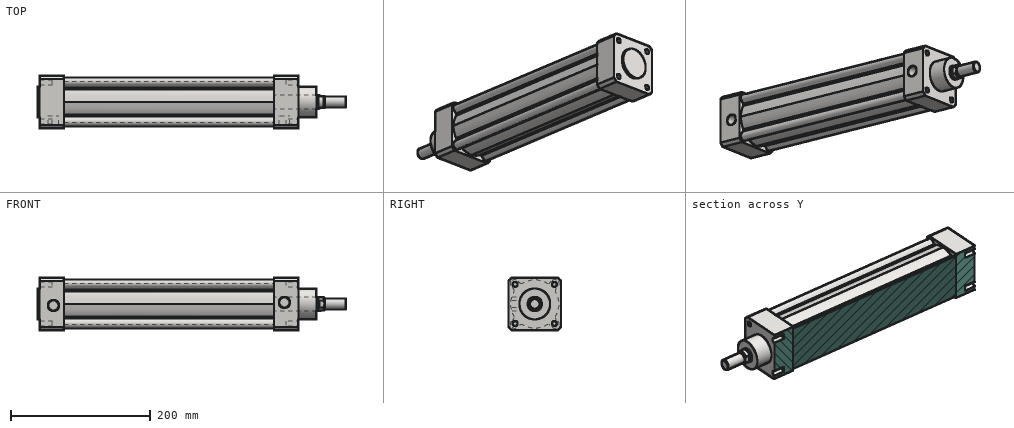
import cadquery as cq
import math


OVERALL_LENGTH = 444.0
REAR_BOSS_LENGTH = 3.0
CAP_LENGTH = 35.0
PROFILE_LENGTH = 302.0
COLLAR_LENGTH = 26.0

PROFILE_START = REAR_BOSS_LENGTH + CAP_LENGTH
PROFILE_END = PROFILE_START + PROFILE_LENGTH
FRONT_CAP_END = PROFILE_END + CAP_LENGTH
COLLAR_END = FRONT_CAP_END + COLLAR_LENGTH

CAP_SIDE = 76.0
CAP_CORNER_RADIUS = 50.0
BOSS_RADIUS = 22.0
SCREW_SPACING = 56.5
SCREW_HOLE_RADIUS = 3.5
SCREW_HOLE_DEPTH = 17.8
PORT_RADIUS = 7.5
PORT_CHAMFER = 0.5
PORT_DEPTH = 17.8
PORT_OFFSET = 2.0
REAR_PORT_X = 23.0
FRONT_PORT_X = 355.0

TUBE_RADIUS = 34.5
CORE_SIDE = 59.5
LOBE_RADIUS = 6.0
LOBE_CENTRE = 29.0
RIDGE_HEIGHT = 35.5
RIDGE_HALF_WIDTH = 6.0

ROD_RADIUS = 10.0
NOSE_RADIUS = 9.8
JOURNAL_LENGTH = 3.0
ROD_STEP = COLLAR_END + JOURNAL_LENGTH
FLAT_DISTANCE = 8.5
FLAT_SETBACK = 1.0
FLAT_START = ROD_STEP + FLAT_SETBACK
THREAD_RADIUS = 8.0
SHOULDER_START = 411.5
SHOULDER_LENGTH = 1.8
SHOULDER_END = SHOULDER_START + SHOULDER_LENGTH
TIP_CHAMFER = 1.0


def disc(start_x, radius, length):
    """Cylinder about the X axis, running in +X from start_x."""
    return cq.Workplane("YZ", origin=(start_x, 0, 0)).circle(radius).extrude(length)


def cap_block(start_x):
    """Square block with its four long corners rounded about the cylinder axis."""
    block = cq.Workplane("YZ", origin=(start_x, 0, 0)).rect(CAP_SIDE, CAP_SIDE).extrude(CAP_LENGTH)
    return block.intersect(disc(start_x, CAP_CORNER_RADIUS, CAP_LENGTH))


def screw_holes(face_x, depth):
    """Four corner holes from an end face; a negative depth runs toward -X."""
    return (
        cq.Workplane("YZ", origin=(face_x, 0, 0))
        .rect(SCREW_SPACING, SCREW_SPACING, forConstruction=True)
        .vertices()
        .circle(SCREW_HOLE_RADIUS)
        .extrude(depth)
    )


def port(x, z):
    """Blind air port with a chamfered mouth, entering from the -Y face of a cap."""
    mouth = cq.Workplane("XZ", origin=(x, -CAP_SIDE / 2, z))
    bore = mouth.circle(PORT_RADIUS).extrude(-PORT_DEPTH)
    countersink = cq.Solid.makeCone(
        PORT_RADIUS + PORT_CHAMFER, PORT_RADIUS, PORT_CHAMFER,
        cq.Vector(x, -CAP_SIDE / 2, z), cq.Vector(0, 1, 0),
    )
    return bore.union(cq.Workplane(countersink))


def make_rear_cap():
    cap = cap_block(REAR_BOSS_LENGTH).union(disc(0, BOSS_RADIUS, PROFILE_START))
    cap = cap.cut(screw_holes(REAR_BOSS_LENGTH, SCREW_HOLE_DEPTH))
    return cap.cut(port(REAR_PORT_X, -PORT_OFFSET))


def make_front_cap():
    cap = cap_block(PROFILE_END).union(disc(PROFILE_END, BOSS_RADIUS, CAP_LENGTH + COLLAR_LENGTH))
    cap = cap.cut(screw_holes(FRONT_CAP_END, -SCREW_HOLE_DEPTH))
    cap = cap.cut(port(FRONT_PORT_X, PORT_OFFSET))
    return cap.cut(disc(PROFILE_END, ROD_RADIUS, CAP_LENGTH + COLLAR_LENGTH))


def make_profile():
    section = cq.Workplane("YZ", origin=(PROFILE_START, 0, 0))
    profile = disc(PROFILE_START, TUBE_RADIUS, PROFILE_LENGTH)
    profile = profile.union(section.rect(CORE_SIDE, CORE_SIDE).extrude(PROFILE_LENGTH))

    web_length = 2 * (math.sqrt(2) * LOBE_CENTRE + LOBE_RADIUS)
    for angle in (45, 135):
        web = section.slot2D(web_length, 2 * LOBE_RADIUS, angle).extrude(PROFILE_LENGTH)
        profile = profile.union(web)

    ridge_foot = math.sqrt(TUBE_RADIUS**2 - RIDGE_HALF_WIDTH**2)
    ridge_outline = [
        (0, 0),
        (ridge_foot, -RIDGE_HALF_WIDTH),
        (RIDGE_HEIGHT, 0),
        (ridge_foot, RIDGE_HALF_WIDTH),
    ]
    ridge = section.polyline(ridge_outline).close().extrude(PROFILE_LENGTH)
    for angle in (0, 90, 180, 270):
        profile = profile.union(ridge.rotate((0, 0, 0), (1, 0, 0), angle))
    return profile


def make_piston_rod():
    half_section = [
        (PROFILE_END, 0),
        (PROFILE_END, ROD_RADIUS),
        (ROD_STEP, ROD_RADIUS),
        (ROD_STEP, NOSE_RADIUS),
        (SHOULDER_START, NOSE_RADIUS),
        (SHOULDER_END, THREAD_RADIUS),
        (OVERALL_LENGTH - TIP_CHAMFER, THREAD_RADIUS),
        (OVERALL_LENGTH, THREAD_RADIUS - TIP_CHAMFER),
        (OVERALL_LENGTH, 0),
    ]
    rod = cq.Workplane("XY").polyline(half_section).close().revolve(360, (0, 0, 0), (1, 0, 0))

    flat_length = SHOULDER_END - FLAT_START
    flat_depth = NOSE_RADIUS - FLAT_DISTANCE
    flat_cutter = cq.Workplane("XY").box(flat_length, flat_depth, 2 * NOSE_RADIUS)
    flat_x = FLAT_START + flat_length / 2
    flat_y = FLAT_DISTANCE + flat_depth / 2
    for side in (-1, 1):
        rod = rod.cut(flat_cutter.translate((flat_x, side * flat_y, 0)))
    return rod


rear_cap = make_rear_cap()
front_cap = make_front_cap()
profile = make_profile()
piston_rod = make_piston_rod()

result = cq.Compound.makeCompound(
    [rear_cap.val(), front_cap.val(), profile.val(), piston_rod.val()]
)